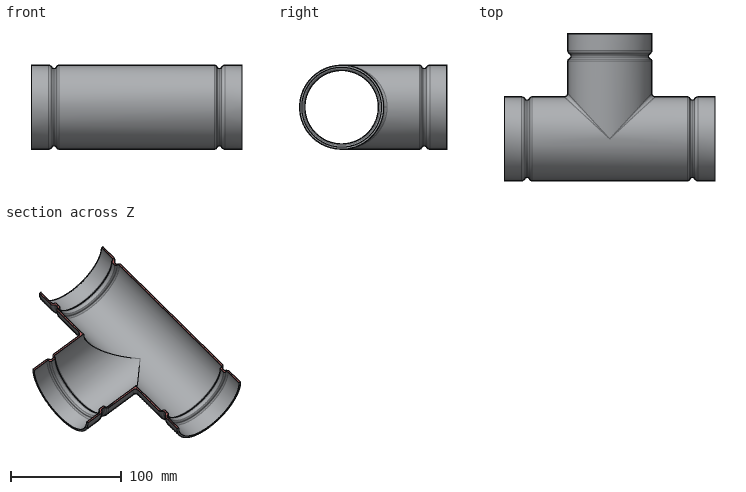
import cadquery as cq
import math

RUN_LENGTH = 190.5
BRANCH_LENGTH = 95.2
OUTER_DIAMETER = 76.2
WALL = 2.0

GROOVE_START = 15.2
GROOVE_DIAMETER = 70.3
FLOOR_WIDTH = 1.1
LIP_RADIUS = 3.8
BACK_RADIUS = 2.1
ROOT_RADIUS = 1.3
BACK_ANGLE = math.radians(53)

JOINT_RADIUS = 3.0

OUTER_RADIUS = OUTER_DIAMETER / 2
GROOVE_RADIUS = GROOVE_DIAMETER / 2
GROOVE_DEPTH = OUTER_RADIUS - GROOVE_RADIUS
BORE_RADIUS = OUTER_RADIUS - WALL
BEAD_RADIUS = GROOVE_RADIUS - WALL

LIP_ANGLE = math.acos(1 - GROOVE_DEPTH / (LIP_RADIUS + ROOT_RADIUS))
LIP_FLANK_WIDTH = (LIP_RADIUS + ROOT_RADIUS) * math.sin(LIP_ANGLE)

BACK_ARC_DROP = (BACK_RADIUS + ROOT_RADIUS) * (1 - math.cos(BACK_ANGLE))
BACK_ARC_WIDTH = (BACK_RADIUS + ROOT_RADIUS) * math.sin(BACK_ANGLE)
BACK_FLANK_WIDTH = BACK_ARC_WIDTH + (GROOVE_DEPTH - BACK_ARC_DROP) / math.tan(BACK_ANGLE)

FLOOR_START = GROOVE_START + LIP_FLANK_WIDTH
FLOOR_END = FLOOR_START + FLOOR_WIDTH
GROOVE_END = FLOOR_END + BACK_FLANK_WIDTH

BEAD_ARC = GROOVE_DEPTH / 2


def outer_profile(length):
    """Half section of the outer skin, from the open end at x = 0 to the tee center."""
    lip_end = (
        GROOVE_START + LIP_RADIUS * math.sin(LIP_ANGLE),
        OUTER_RADIUS - LIP_RADIUS * (1 - math.cos(LIP_ANGLE)),
    )
    back_root_end = (
        FLOOR_END + ROOT_RADIUS * math.sin(BACK_ANGLE),
        GROOVE_RADIUS + ROOT_RADIUS * (1 - math.cos(BACK_ANGLE)),
    )
    back_start = (
        GROOVE_END - BACK_RADIUS * math.sin(BACK_ANGLE),
        OUTER_RADIUS - BACK_RADIUS * (1 - math.cos(BACK_ANGLE)),
    )
    return (
        cq.Workplane("XY")
        .lineTo(0, OUTER_RADIUS)
        .lineTo(GROOVE_START, OUTER_RADIUS)
        .radiusArc(lip_end, LIP_RADIUS)
        .radiusArc((FLOOR_START, GROOVE_RADIUS), -ROOT_RADIUS)
        .lineTo(FLOOR_END, GROOVE_RADIUS)
        .radiusArc(back_root_end, -ROOT_RADIUS)
        .lineTo(*back_start)
        .radiusArc((GROOVE_END, OUTER_RADIUS), BACK_RADIUS)
        .lineTo(length, OUTER_RADIUS)
        .lineTo(length, 0)
        .close()
    )


def bore_profile(length):
    """Half section of the bore, from the open end at x = 0 to the tee center."""
    middle_radius = BORE_RADIUS - BEAD_ARC
    return (
        cq.Workplane("XY")
        .lineTo(0, BORE_RADIUS)
        .lineTo(GROOVE_START, BORE_RADIUS)
        .radiusArc((GROOVE_START + BEAD_ARC, middle_radius), BEAD_ARC)
        .radiusArc((GROOVE_START + 2 * BEAD_ARC, BEAD_RADIUS), -BEAD_ARC)
        .lineTo(GROOVE_END - 2 * BEAD_ARC, BEAD_RADIUS)
        .radiusArc((GROOVE_END - BEAD_ARC, middle_radius), -BEAD_ARC)
        .radiusArc((GROOVE_END, BORE_RADIUS), BEAD_ARC)
        .lineTo(length, BORE_RADIUS)
        .lineTo(length, 0)
        .close()
    )


def arm_solid(profile, length):
    """Revolve a half section about X and move its inner end to the tee center."""
    arm = profile(length).revolve(360, (0, 0, 0), (1, 0, 0))
    return arm.translate((-length, 0, 0))


def tee_solid(profile):
    """Solid tee: two run arms along X and a branch arm along +Y."""
    run_arm = arm_solid(profile, RUN_LENGTH / 2)
    run = run_arm.union(run_arm.mirror("YZ"))
    branch = arm_solid(profile, BRANCH_LENGTH).rotate((0, 0, 0), (0, 0, 1), -90)
    return run.union(branch)


body = tee_solid(outer_profile).edges("%ELLIPSE").fillet(JOINT_RADIUS)
bore = tee_solid(bore_profile)

result = body.cut(bore)